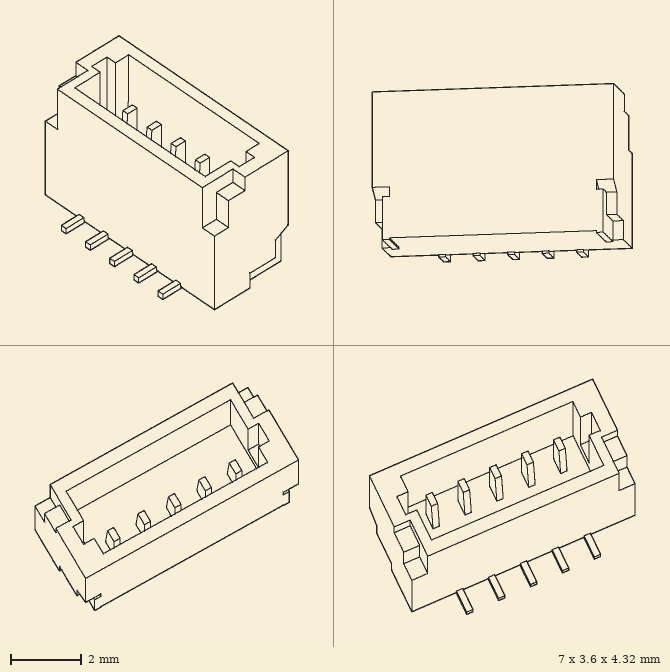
import cadquery as cq


length = 7.0
depth = 2.9
height = 4.25
front = -depth / 2
back = depth / 2
end = length / 2

cavity_length = 5.4
front_wall = 0.40
back_wall = 0.38
back_wall_draft = 0.03
floor_z = 1.35
keyway_floor_z = 1.85
keyway_reach = 0.35
keyway_width = 0.6
keyway_from_back = 0.9

relief_length = 0.5
relief_shallow_depth = 0.5
relief_shallow_reach = 1.2
relief_deep_depth = 1.5
relief_deep_reach = 0.55

tab_thickness = 0.2
tab_recess = 0.3
pocket_length = tab_recess + tab_thickness
tab_post_width = 0.5
tab_foot_width = 1.5
tab_foot_top = 0.55
tab_top = 1.2
pocket_peak = 1.48
tab_drop = 0.05

pin_count = 5
pitch = 1.0
contact_width = 0.2
pin_back = back - 0.81
pin_tip_depth = 0.37
pin_top = 3.0
pin_taper = 0.12
lead_length = 0.7
lead_overlap = 0.1
lead_height = 0.2
lead_bottom = -0.07


def block(x_range, y_range, z_range):
    """Axis-aligned box spanning the given (low, high) ranges."""
    low, high = zip(x_range, y_range, z_range)
    size = [b - a for a, b in zip(low, high)]
    return cq.Workplane("XY").box(*size, centered=False).translate(low)


def end_profile(points, x_low, x_length):
    """Prism along +X from a closed outline of (y, z) points."""
    return cq.Workplane("YZ", origin=(x_low, 0, 0)).polyline(points).close().extrude(x_length)


def both_ends(shape):
    """The shape together with its mirror image across the YZ plane."""
    return shape.union(shape.mirror("YZ"))


def make_cavity():
    """Open-topped cavity with a drafted back wall and a shallower keyway at each end."""
    front_face = front + front_wall
    back_face = back - back_wall
    outline = [
        (front_face, floor_z),
        (back_face - back_wall_draft, floor_z),
        (back_face, height),
        (front_face, height),
    ]
    room = end_profile(outline, -cavity_length / 2, cavity_length)
    keyway_reach_x = cavity_length / 2 + keyway_reach
    keyway_back = back - keyway_from_back
    keyways = block(
        (-keyway_reach_x, keyway_reach_x),
        (keyway_back - keyway_width, keyway_back),
        (keyway_floor_z, height),
    )
    return room.union(keyways)


def make_corner_reliefs():
    """Two-step cut-outs at both upper front corners."""
    outline = [
        (front, height),
        (front + relief_shallow_reach, height),
        (front + relief_shallow_reach, height - relief_shallow_depth),
        (front + relief_deep_reach, height - relief_shallow_depth),
        (front + relief_deep_reach, height - relief_deep_depth),
        (front, height - relief_deep_depth),
    ]
    return both_ends(end_profile(outline, -end, relief_length))


def tab_outline(bottom, back_top):
    """L-shaped (y, z) outline shared by the tabs and their pockets."""
    return [
        (back, bottom),
        (back, back_top),
        (back - tab_post_width, tab_top),
        (back - tab_post_width, tab_foot_top),
        (back - tab_foot_width, tab_foot_top),
        (back - tab_foot_width, bottom),
    ]


def make_tab_pockets():
    """Pockets open to the end, back and underside, with a sloping roof."""
    return both_ends(end_profile(tab_outline(0, pocket_peak), -end, pocket_length))


def make_tabs():
    """Flat L-shaped plates standing slightly below the housing."""
    return both_ends(end_profile(tab_outline(-tab_drop, tab_top), -end + tab_recess, tab_thickness))


def make_contact(x):
    """Pin in the cavity whose front face tapers toward the tip, and a solder lead at the front."""
    x_low = x - contact_width / 2
    pin_front = pin_back - pin_tip_depth
    pin_outline = [
        (pin_back, floor_z),
        (pin_back, pin_top),
        (pin_front, pin_top),
        (pin_front - pin_taper, floor_z),
    ]
    pin = end_profile(pin_outline, x_low, contact_width)
    lead = block(
        (x_low, x_low + contact_width),
        (front - lead_length, front + lead_overlap),
        (lead_bottom, lead_bottom + lead_height),
    )
    return pin, lead


result = block((-end, end), (front, back), (0, height))
result = result.cut(make_cavity())
result = result.cut(make_corner_reliefs())
result = result.cut(make_tab_pockets())
result = result.union(make_tabs())
for index in range(pin_count):
    contact_x = (index - (pin_count - 1) / 2) * pitch
    for piece in make_contact(contact_x):
        result = result.union(piece)